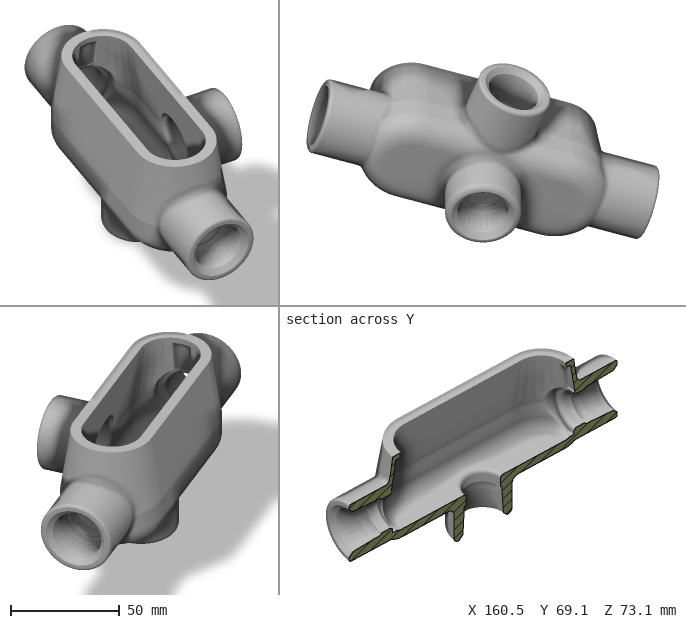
import cadquery as cq
import math

overall_length = 160.5
end_centre_x = 35.0
rim_radius = 19.3
parting_radius = 24.0
rim_z = 32.5
bottom_z = -19.5
bottom_edge_radius = 10.3
draft = math.atan((parting_radius - rim_radius) / rim_z)

wall = 5.0
floor_z = bottom_z + wall
cavity_radius = parting_radius - wall
cavity_edge_radius = bottom_edge_radius - wall
cavity_end_x = end_centre_x + cavity_radius

notch_half_width = 4.7
notch_depth = 2.4
notch_corner_radius = 1.1
notch_lip = 3.2

port_radius = 17.5
side_port_reach = overall_length / 2
rear_port_reach = 45.1
bottom_port_reach = 40.6
lip_radius = 1.5
bottom_lip_radius = 3.0
root_radius = 2.4
bottom_root_radius = 3.5

mouth_radius = 14.5
bore_mouth_radius = 12.0
bore_end_radius = 11.4
bore_depth = 14.1
relief_radius = 11.2
throat_radius = 10.1
throat_depth = 19.3
throat_round = 2.0
recess_radius = 13.6

side_root = (50.5, 57.0)
rear_root = (17.7, 24.4)
bottom_root = (18.5, 19.6)
root_clearance = 0.2

PORTS = [
    ((1, 0, 0), side_port_reach, lip_radius, root_radius, cavity_end_x, side_root),
    ((-1, 0, 0), side_port_reach, lip_radius, root_radius, cavity_end_x, side_root),
    ((0, 1, 0), rear_port_reach, lip_radius, root_radius, cavity_radius, rear_root),
    ((0, 0, -1), bottom_port_reach, bottom_lip_radius, bottom_root_radius, -floor_z, bottom_root),
]


def slot(z, radius):
    """Round-ended outline at height z."""
    return cq.Workplane("XY", origin=(0, 0, z)).slot2D(2 * (end_centre_x + radius), 2 * radius)


def make_trough(base_z, base_radius, edge_radius):
    """Upright below the parting plane with a rounded bottom edge, narrowing up to the rim."""
    lower = slot(base_z, base_radius).extrude(-base_z).faces("<Z").edges().fillet(edge_radius)
    upper = slot(0, base_radius).extrude(rim_z, taper=math.degrees(draft))
    return lower.union(upper)


def across_axis(direction):
    """A direction square to a port axis."""
    return cq.Vector(0, 1, 0) if direction[2] else cq.Vector(0, 0, 1)


def root_selector(direction, near, far):
    """Edges centred in a square prism around a port axis, from near to far along it."""
    axis = cq.Vector(*direction)
    half_side = port_radius + root_clearance
    corner = cq.Vector(*(0 if part else half_side for part in direction))
    low = axis * near - corner
    high = axis * far + corner
    return cq.selectors.BoxSelector(low.toTuple(), high.toTuple())


def add_port(body, direction, reach, lip, root, root_range):
    """Join a round port to the body, with a rounded lip and a filleted root."""
    plane = cq.Plane((0, 0, 0), across_axis(direction), direction)
    end_face = cq.selectors.DirectionMinMaxSelector(cq.Vector(*direction))
    port = cq.Workplane(plane).circle(port_radius).extrude(reach)
    port = port.faces(end_face).edges().fillet(lip)
    return body.union(port).edges(root_selector(direction, *root_range)).fillet(root)


def make_passage(direction, reach, seat):
    """Everything to remove along a port axis, turned as one profile of (radius, distance)."""
    across = across_axis(direction)
    axial_plane = cq.Plane((0, 0, 0), across, across.cross(cq.Vector(*direction)))
    bore_start = reach - (mouth_radius - bore_mouth_radius)
    bore_end = reach - bore_depth
    throat_start = reach - throat_depth
    corner = relief_radius - throat_radius
    arc_offset = 1 - math.sqrt(0.5)
    return (
        cq.Workplane(axial_plane)
        .lineTo(recess_radius, 0)
        .lineTo(recess_radius, seat)
        .lineTo(throat_radius + throat_round, seat)
        .threePointArc(
            (throat_radius + throat_round * arc_offset, seat + throat_round * arc_offset),
            (throat_radius, seat + throat_round),
        )
        .lineTo(throat_radius, throat_start)
        .threePointArc(
            (relief_radius - corner * arc_offset, throat_start + corner * arc_offset),
            (relief_radius, throat_start + corner),
        )
        .lineTo(relief_radius, bore_end)
        .lineTo(bore_end_radius, bore_end)
        .lineTo(bore_mouth_radius, bore_start)
        .lineTo(mouth_radius, reach)
        .lineTo(0, reach)
        .close()
        .revolve(360, (0, 0), (0, 1))
    )


def make_notch():
    """Notch in the +X end wall, leaning with the wall, from the port recess up to the rim lip."""
    low_z = throat_radius + throat_round
    high_z = rim_z - notch_lip

    def back_x(z):
        return cavity_end_x - z * math.tan(draft) + notch_depth

    profile = [
        (end_centre_x, low_z),
        (back_x(low_z), low_z),
        (back_x(high_z), high_z),
        (end_centre_x, high_z),
    ]
    notch = cq.Workplane("XZ").polyline(profile).close().extrude(notch_half_width, both=True)
    return notch.faces(">X").edges("not |Y").fillet(notch_corner_radius)


body = make_trough(bottom_z, parting_radius, bottom_edge_radius)
for direction, reach, lip, root, seat, root_range in PORTS:
    body = add_port(body, direction, reach, lip, root, root_range)

result = body.cut(make_trough(floor_z, cavity_radius, cavity_edge_radius))
for direction, reach, lip, root, seat, root_range in PORTS:
    result = result.cut(make_passage(direction, reach, seat))

end_notch = make_notch()
result = result.cut(end_notch).cut(end_notch.mirror("YZ"))